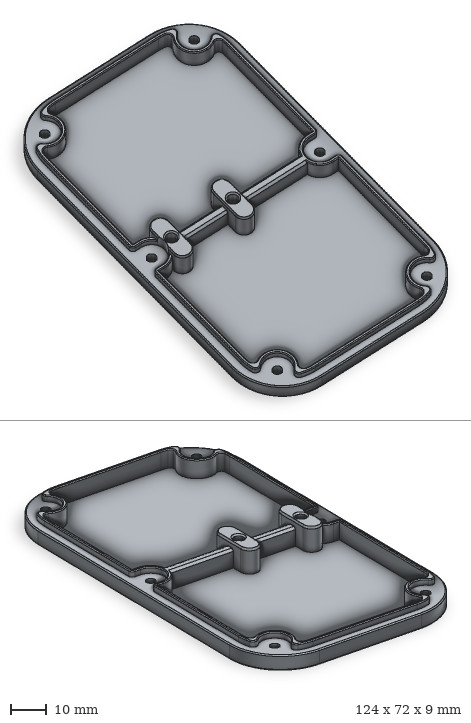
import cadquery as cq

length = 124.0
width = 72.0
corner_radius = 18.0
base_height = 5.0
bottom_chamfer = 0.5
ledge_chamfer = 0.4

floor_thickness = 1.0
pocket_length = 116.5
pocket_width = 64.0
pocket_radius = 13.6
lip_top = 7.0
lip_thickness = 1.2
lip_chamfer = 0.31
blend_radius = 1.5

boss_radius = 6.0
screw_diameter = 3.0
corner_screw_x = 52.7
corner_screw_y = 26.7
middle_screw_y = 30.0

rib_width = 3.2
rib_chamfer = 0.7

pad_top = 9.0
pad_length = 16.0
pad_width = 6.1
pad_y_positions = (-1.0, -23.0)
pad_chamfer_height = 0.7
pad_chamfer_width = 0.31
pad_hole_diameter = 3.3
pad_hole_chamfer = 0.5
pad_hole_chamfer_angle = 90

corner_screws = [(x, y) for x in (-corner_screw_x, corner_screw_x) for y in (-corner_screw_y, corner_screw_y)]
middle_screws = [(0, -middle_screw_y), (0, middle_screw_y)]
pad_centers = [(0, y) for y in pad_y_positions]


def plane_at(height):
    return cq.Workplane("XY").workplane(offset=height)


def cylinders(centers, radius, bottom, top):
    return plane_at(bottom).pushPoints(centers).circle(radius).extrude(top - bottom)


def make_base():
    base = plane_at(0).rect(length, width).extrude(base_height)
    base = base.edges("|Z").fillet(corner_radius)
    return base.faces("<Z").chamfer(bottom_chamfer).faces(">Z").chamfer(ledge_chamfer)


def pocket_block(growth):
    """Block from the floor to the lip top that fills the pocket, its walls moved outward by growth.

    Its outline is a rounded rectangle that bends inward around every screw boss.
    """
    block_width = pocket_width + 2 * growth
    seat_radius = boss_radius - growth
    height = lip_top - floor_thickness
    block = plane_at(floor_thickness).rect(pocket_length + 2 * growth, block_width).extrude(height)
    block = block.edges("|Z").fillet(pocket_radius + growth)
    block = block.cut(cylinders(corner_screws, seat_radius, floor_thickness, lip_top))

    tolerance = 0.1
    straight_x = pocket_length / 2 - pocket_radius + tolerance
    straight_y = pocket_width / 2 - pocket_radius + tolerance
    boss_corners = block.edges("|Z").filter(
        lambda edge: abs(edge.Center().x) > straight_x and abs(edge.Center().y) > straight_y
    )
    block = block.newObject(boss_corners.vals()).fillet(blend_radius)

    block = block.cut(cylinders(middle_screws, seat_radius, floor_thickness, lip_top))
    neck_length = width / 2 - middle_screw_y
    for x, y in middle_screws:
        neck_y = y + neck_length / 2 if y > 0 else y - neck_length / 2
        neck = plane_at(floor_thickness).center(x, neck_y).rect(2 * seat_radius, neck_length)
        block = block.cut(neck.extrude(height))

    if growth > 0:
        wall_y = block_width / 2 - tolerance
        neck_corners = block.edges("|Z").filter(
            lambda edge: abs(edge.Center().x) < boss_radius and abs(edge.Center().y) > wall_y
        )
        block = block.newObject(neck_corners.vals()).fillet(growth)
    return block


def make_lip(pocket):
    """Wall around the pocket, both edges of its top chamfered."""
    return pocket_block(lip_thickness).cut(pocket).faces(">Z").chamfer(lip_chamfer)


def make_rib():
    """Cross rib whose ends stop inside the lip around the middle bosses."""
    rib_length = 2 * (middle_screw_y - boss_radius + lip_thickness / 2)
    rib = plane_at(0).rect(rib_width, rib_length).extrude(lip_top)
    return rib.faces(">Z").edges("|Y").chamfer(rib_chamfer)


def make_pads():
    pads = plane_at(0).pushPoints(pad_centers).slot2D(pad_length, pad_width).extrude(pad_top)
    return pads.faces(">Z").chamfer(pad_chamfer_height, pad_chamfer_width)


def make_screw_holes():
    holes = cylinders(corner_screws + middle_screws, screw_diameter / 2, 0, base_height)
    seats = cylinders(middle_screws, boss_radius - lip_thickness, base_height, pad_top)
    return holes.union(seats)


def drill_pads(body):
    """Drill each pad through the floor, with a chamfered rim."""
    rim_diameter = pad_hole_diameter + 2 * pad_hole_chamfer
    top_plane = body.copyWorkplane(plane_at(pad_top))
    return top_plane.pushPoints(pad_centers).cskHole(pad_hole_diameter, rim_diameter, pad_hole_chamfer_angle)


pocket_space = pocket_block(0)
result = make_base().cut(pocket_space).union(make_lip(pocket_space))
result = result.union(make_rib()).union(make_pads())
result = result.cut(make_screw_holes())
result = drill_pads(result).solids()